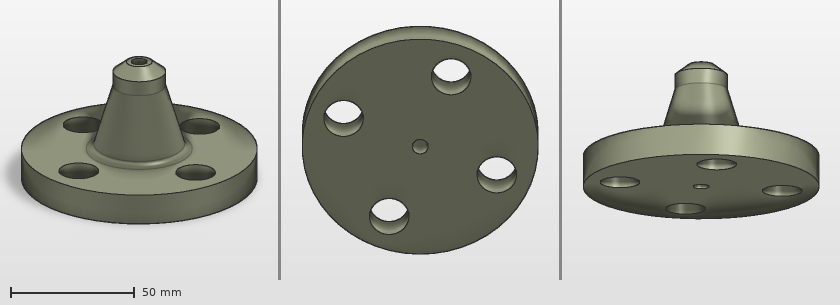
import cadquery as cq

flange_diameter = 95.2
flange_thickness = 12.7
total_height = 50.8

bolt_hole_count = 4
bolt_hole_diameter = 15.9
bolt_circle_diameter = 66.7

neck_base_radius = 19.0
neck_top_radius = 10.7
weld_end_height = 6.1
bevel_height = 4.3
bevel_top_radius = 5.2
bore_diameter = 6.4
root_fillet_radius = 3.1

bevel_start_z = total_height - bevel_height
neck_top_z = bevel_start_z - weld_end_height


def make_body():
    """Flange, neck and weld end revolved about Z, with a rounded neck root."""
    flange_radius = flange_diameter / 2
    profile = (
        cq.Workplane("XZ")
        .moveTo(0, 0)
        .lineTo(flange_radius, 0)
        .lineTo(flange_radius, flange_thickness)
        .lineTo(neck_base_radius, flange_thickness)
        .lineTo(neck_top_radius, neck_top_z)
        .lineTo(neck_top_radius, bevel_start_z)
        .lineTo(bevel_top_radius, total_height)
        .lineTo(0, total_height)
        .close()
    )
    body = profile.revolve(360, (0, 0, 0), (0, 1, 0))
    second_largest_radius = cq.selectors.RadiusNthSelector(-2)
    root_edge = body.edges("%CIRCLE").edges(second_largest_radius)
    return root_edge.fillet(root_fillet_radius)


def make_bolt_holes():
    """Through holes evenly spaced on the bolt circle, starting on +X."""
    return (
        cq.Workplane("XY")
        .polarArray(bolt_circle_diameter / 2, 0, 360, bolt_hole_count)
        .circle(bolt_hole_diameter / 2)
        .extrude(flange_thickness)
    )


def make_bore():
    """Central bore through the full height."""
    return cq.Workplane("XY").circle(bore_diameter / 2).extrude(total_height)


result = make_body().cut(make_bolt_holes()).cut(make_bore())